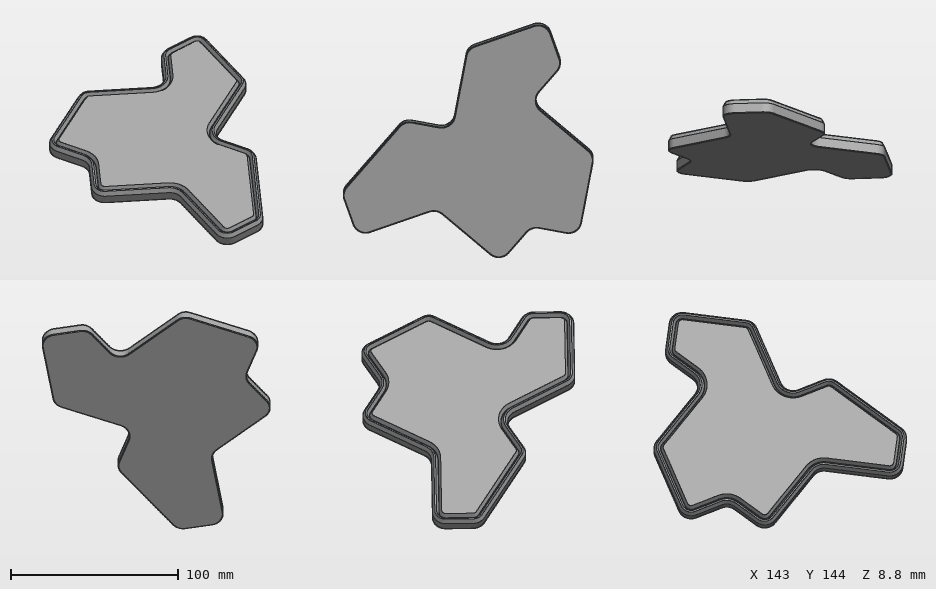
import cadquery as cq
import math

OVERALL_DEPTH = 144.0
CORNER_RADIUS = 7.9
CLEARANCE = 0.1
CENTRE_DEPTH = (CORNER_RADIUS + CLEARANCE) * (1 + math.sqrt(3)) / 2
SHORT_SIDE = (OVERALL_DEPTH + 2 * (CENTRE_DEPTH - CORNER_RADIUS)) / (3 * math.sqrt(3))
LONG_SIDE = SHORT_SIDE * math.sqrt(3)

SIDES = [
    (SHORT_SIDE, 0),
    (SHORT_SIDE, -60),
    (LONG_SIDE, 30),
    (LONG_SIDE, -30),
    (SHORT_SIDE, 60),
    (2 * SHORT_SIDE, 120),
    (SHORT_SIDE, 180),
    (LONG_SIDE, 90),
    (LONG_SIDE, 150),
    (SHORT_SIDE, 240),
    (SHORT_SIDE, 300),
    (LONG_SIDE, 210),
    (LONG_SIDE, 270),
]

TOTAL_HEIGHT = 8.8
BEVEL_HEIGHT = 2.7
BASE_HEIGHT = TOTAL_HEIGHT - BEVEL_HEIGHT
BOTTOM_CHAMFER = 0.5

BEVEL_WIDTH = 1.5
RIM_TOP_WIDTH = 1.0
RIM_TOP_INSET = BEVEL_WIDTH + RIM_TOP_WIDTH
PANEL_GAP = 0.17
PANEL_INSET = RIM_TOP_INSET + BEVEL_WIDTH + PANEL_GAP

BEVEL_ANGLE = math.degrees(math.atan2(BEVEL_WIDTH, BEVEL_HEIGHT))


def tile_corners():
    """Sharp corners of the full tile, walked side by side from the origin."""
    x = 0.0
    y = 0.0
    corners = []
    for length, heading in SIDES:
        corners.append((x, y))
        x += length * math.cos(math.radians(heading))
        y += length * math.sin(math.radians(heading))
    return corners


def inset_outline(inset):
    """Rounded outline at the bottom plane, moved inward by inset."""
    full_tile = cq.Workplane("XY").polyline(tile_corners()).close()
    sharp = full_tile.offset2D(-CLEARANCE, "intersection").extrude(TOTAL_HEIGHT)
    rounded = sharp.edges("|Z").fillet(CORNER_RADIUS)
    outline = rounded.faces("<Z").wires().val()
    if inset == 0:
        return outline
    return outline.offset2D(-inset)[0]


def bevelled_slab(inset, start_height, rise):
    """Slab whose sides narrow by the bevel from start_height; a negative rise builds it downward."""
    slab = cq.Workplane(inset_outline(inset)).toPending().extrude(rise, taper=BEVEL_ANGLE)
    return slab.translate((0, 0, start_height))


def make_base():
    """Flat slab with a small chamfer around its bottom edge."""
    slab = cq.Workplane(inset_outline(0)).toPending().extrude(BASE_HEIGHT)
    return slab.faces("<Z").edges().chamfer(BOTTOM_CHAMFER)


def make_rim():
    """Border ring on the base, bevelled outside and inside so that a flat strip is left on top."""
    ring = bevelled_slab(0, BASE_HEIGHT, BEVEL_HEIGHT)
    opening = bevelled_slab(RIM_TOP_INSET, TOTAL_HEIGHT, -BEVEL_HEIGHT)
    return ring.cut(opening)


def make_panel():
    """Panel on the base inside the rim; its bevel and the rim's face each other across a V groove."""
    return bevelled_slab(PANEL_INSET, BASE_HEIGHT, BEVEL_HEIGHT)


base = make_base()
rim = make_rim()
panel = make_panel()
result = cq.Compound.makeCompound([base.val(), rim.val(), panel.val()])